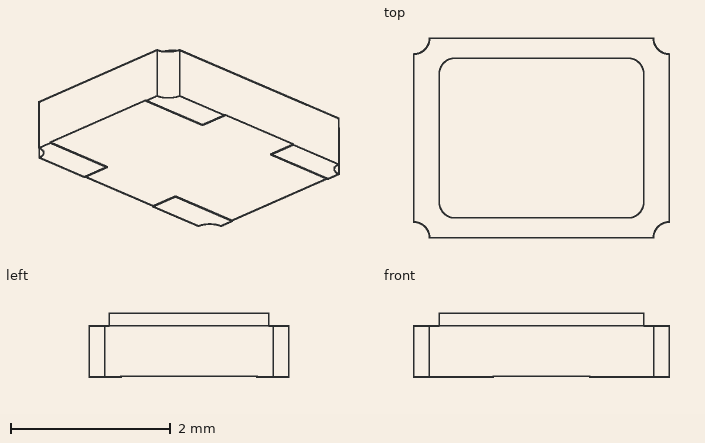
import cadquery as cq

length = 3.2
width = 2.5
height = 0.8

lid_length = 2.56
lid_width = 2.0
lid_height = 0.16
lid_corner_radius = 0.2

pad_length = 1.0
pad_width = 0.4
pad_thickness = 0.01
notch_radius = 0.2

body_height = height - lid_height - pad_thickness
body_top = pad_thickness + body_height
corners = [(x * length / 2, y * width / 2) for x in (-1, 1) for y in (-1, 1)]


def make_body():
    return cq.Workplane("XY", origin=(0, 0, pad_thickness)).box(
        length, width, body_height, centered=(True, True, False)
    )


def make_lid():
    lid = cq.Workplane("XY", origin=(0, 0, body_top)).box(
        lid_length, lid_width, lid_height, centered=(True, True, False)
    )
    return lid.edges("|Z").fillet(lid_corner_radius)


def make_pads():
    pad_x = (length - pad_length) / 2
    pad_y = (width - pad_width) / 2
    centers = [(x * pad_x, y * pad_y) for x in (-1, 1) for y in (-1, 1)]
    return cq.Workplane("XY").pushPoints(centers).rect(pad_length, pad_width).extrude(pad_thickness)


def make_corner_notches():
    return cq.Workplane("XY").pushPoints(corners).circle(notch_radius).extrude(body_top)


result = make_body().union(make_pads()).cut(make_corner_notches()).union(make_lid())